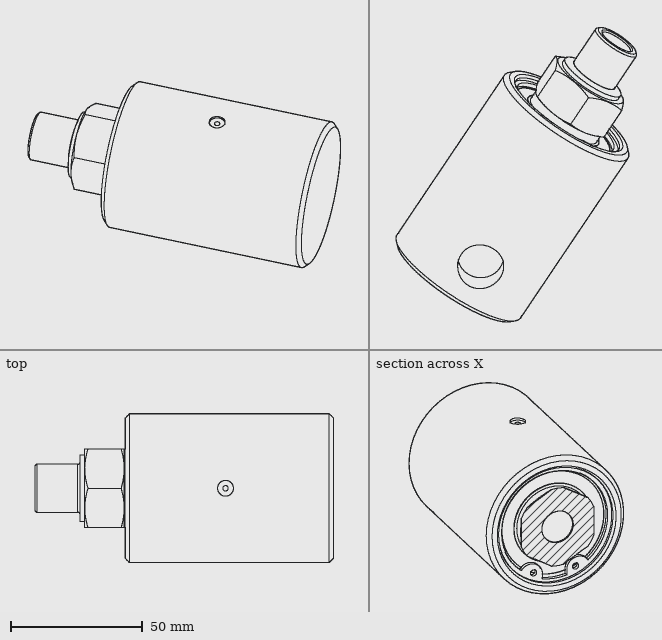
import cadquery as cq
import math

length = 113.4
nose_end = 16.2
collar_start = 17.1
hex_start = 18.8
hex_end = 33.9
body_start = 34.2

nose_d = 18.6
nose_chamfer = 0.8
neck_d = 18.1
collar_d = 25.4
flange_d = 32.1
flange_thickness = 0.3
bore_d = 12.7
bore_chamfer = 0.6
bore_depth = hex_end

hex_flats = 29.9
hex_half_sector = 30.0
hex_corners = hex_flats / math.cos(math.radians(hex_half_sector))
hex_front_face_d = 29.5
hex_chamfer_x = 1.4
hex_back_face_d = 29.9
hex_back_chamfer_x = 1.1

body_d = 56.6
body_chamfer = 1.7

mouth_d = 47.0
mouth_chamfer = 0.9
mouth_depth = 2.0
cavity_d = 42.0
cavity_depth = 3.9

ring_inner_d = 43.7
ring_seat_d = 44.7
ring_thickness = 1.6
ear_d = 9.5
ring_gap = 10.0
ear_y = (ring_gap + ear_d) / 2
ear_z = -19.6
ear_hole_y = 8.6
ear_hole_z = -18.7
ear_hole_d = 2.5

port_d = 17.5
port_x = 96.1
port_depth = 13.6

lube_d = 6.0
lube_x = 72.3
lube_depth = 0.9
lube_tip_d = 2.0
lube_tip_height = 0.3


def cylinder(start, end, diameter):
    """Cylinder about the X axis between two X positions."""
    return cq.Workplane("YZ", origin=(start, 0, 0)).circle(diameter / 2).extrude(end - start)


def countersink(start, diameter, chamfer):
    """45 degree cone that narrows along +X to the given hole diameter."""
    cone = cq.Solid.makeCone(
        diameter / 2 + chamfer,
        diameter / 2,
        chamfer,
        cq.Vector(start, 0, 0),
        cq.Vector(1, 0, 0),
    )
    return cq.Workplane(cone)


def revolve_about_x(profile):
    """Full turn of a closed XY profile about the X axis."""
    return profile.close().revolve(360, (0, 0, 0), (1, 0, 0))


def make_housing():
    housing = cylinder(body_start, length, body_d).faces("<X or >X").chamfer(body_chamfer)
    mouth = cylinder(body_start, body_start + mouth_depth, mouth_d)
    lead_in = countersink(body_start, mouth_d, mouth_chamfer)
    ring_start = body_start + mouth_depth
    ring_seat = cylinder(ring_start, ring_start + ring_thickness, ring_seat_d)
    cavity = cylinder(body_start, body_start + cavity_depth, cavity_d)
    return housing.cut(mouth).cut(lead_in).cut(ring_seat).cut(cavity)


def make_retaining_ring():
    """Open ring with two drilled ears on either side of its gap."""
    start = body_start + mouth_depth
    end = start + ring_thickness
    ring = cylinder(start, end, ring_seat_d).cut(cylinder(start, end, ring_inner_d))
    ear_plane = cq.Workplane("YZ", origin=(start, 0, 0))
    ear_centres = [(-ear_y, ear_z), (ear_y, ear_z)]
    ear_heads = ear_plane.pushPoints(ear_centres).circle(ear_d / 2).extrude(ring_thickness)
    ear_root_length = ring_seat_d / 2
    ear_roots = (
        ear_plane.pushPoints([(y, z - ear_root_length / 2) for y, z in ear_centres])
        .rect(ear_d, ear_root_length)
        .extrude(ring_thickness)
    )
    ears = ear_heads.union(ear_roots).intersect(cylinder(start, end, ring_seat_d))
    hole_centres = [(-ear_hole_y, ear_hole_z), (ear_hole_y, ear_hole_z)]
    ear_holes = ear_plane.pushPoints(hole_centres).circle(ear_hole_d / 2).extrude(ring_thickness)
    gap = (
        ear_plane.center(0, -ring_seat_d / 2)
        .rect(ring_gap, ring_seat_d / 2)
        .extrude(ring_thickness)
    )
    return ring.union(ears).cut(gap).cut(ear_holes)


def make_hexagon():
    """Hexagon with corners up and down, turned to a cone at both ends."""
    prism = (
        cq.Workplane("YZ", origin=(hex_start, 0, 0))
        .polygon(6, hex_corners)
        .extrude(hex_end - hex_start)
        .rotate((0, 0, 0), (1, 0, 0), hex_half_sector)
    )
    envelope_profile = (
        cq.Workplane("XY")
        .moveTo(hex_start, 0)
        .lineTo(hex_start, hex_front_face_d / 2)
        .lineTo(hex_start + hex_chamfer_x, hex_corners / 2)
        .lineTo(hex_end - hex_back_chamfer_x, hex_corners / 2)
        .lineTo(hex_end, hex_back_face_d / 2)
        .lineTo(hex_end, 0)
    )
    envelope = revolve_about_x(envelope_profile)
    return prism.intersect(envelope)


def make_shaft():
    nose = cylinder(0, nose_end, nose_d).faces("<X").chamfer(nose_chamfer)
    fillet_r = collar_start - nose_end
    neck_profile = (
        cq.Workplane("XY")
        .moveTo(nose_end, 0)
        .lineTo(nose_end, neck_d / 2)
        .radiusArc((collar_start, neck_d / 2 + fillet_r), -fillet_r)
        .lineTo(collar_start, 0)
    )
    neck = revolve_about_x(neck_profile)
    collar = cylinder(collar_start, hex_start, collar_d)
    cavity_floor = body_start + cavity_depth
    root = cylinder(hex_end, cavity_floor, hex_back_face_d)
    flange = cylinder(cavity_floor - flange_thickness, cavity_floor, flange_d)
    return nose.union(neck).union(collar).union(make_hexagon()).union(root).union(flange)


def make_bore():
    bore = cylinder(0, bore_depth, bore_d)
    return bore.union(countersink(0, bore_d, bore_chamfer))


def make_port():
    bottom = cq.Workplane("XY", origin=(port_x, 0, -body_d / 2))
    return bottom.circle(port_d / 2).extrude(port_depth)


def make_lube_recess():
    """Flat round recess with a low conical tip left standing at its centre."""
    floor_z = body_d / 2 - lube_depth
    recess = cq.Workplane("XY", origin=(lube_x, 0, floor_z)).circle(lube_d / 2).extrude(lube_depth)
    tip = cq.Solid.makeCone(
        lube_tip_d / 2, 0, lube_tip_height, cq.Vector(lube_x, 0, floor_z), cq.Vector(0, 0, 1)
    )
    return recess.cut(cq.Workplane(tip))


result = (
    make_housing()
    .union(make_retaining_ring())
    .union(make_shaft())
    .cut(make_bore())
    .cut(make_port())
    .cut(make_lube_recess())
)